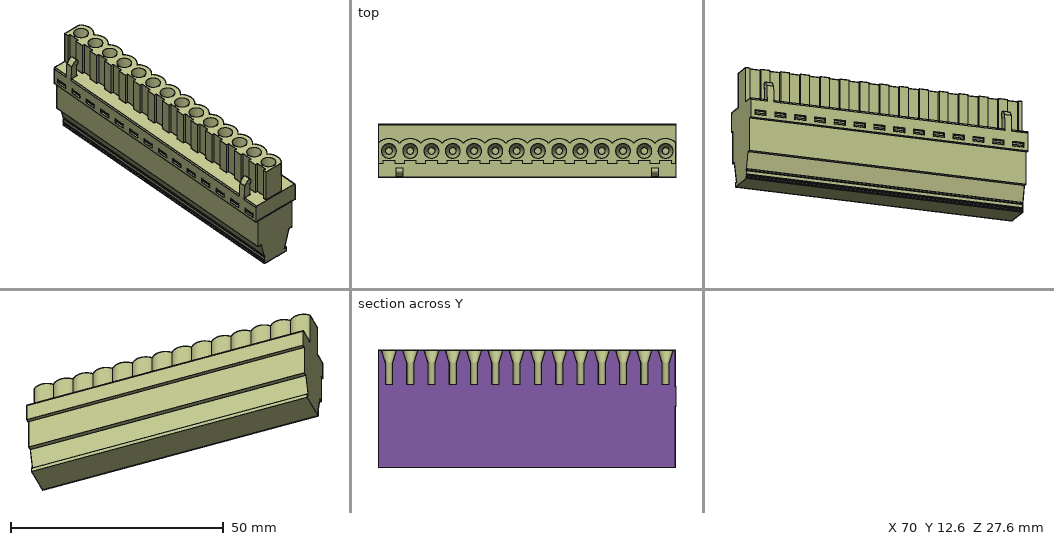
import cadquery as cq
import math

pole_count = 14
pitch = 5.0
length = pole_count * pitch
thickness = 12.59
height = 27.6

end_relief = 0.2
body_length = length - end_relief
flange_thickness = 0.84
body_front = flange_thickness
body_back = thickness - flange_thickness
shoulder_z = 6.3

foot_front = 2.9
toe_z = 1.05
toe_back = 10.0
taper_front_top = 1.85
taper_back_top = 10.75
taper_front_end = 2.8
taper_back_end = 9.3
taper_end_z = 2.5
foot_face_top = 1.9
foot_grooves = [(2.15, 0.5, 0.2), (0.95, 0.35, 0.1), (0.42, 0.45, 0.2)]

collar_bottom = 14.32
collar_top = 19.12
collar_chamfer_y = 0.2
collar_chamfer_z = 0.4

tower_front = 3.37
tower_back = 9.22
tower_radius = 3.4
key_width = 2.75
key_depth = 0.67
hole_y = 6.29
funnel_diameter = 3.47
funnel_depth = 3.0
contact_diameter = 1.59
contact_depth = 8.0

latch_width = 1.7
latch_centers_x = [pitch, length - pitch]
latch_root_depth = 0.48
latch_root_z = collar_top - latch_root_depth
latch_top = 23.9
latch_back = 1.84
latch_lean = 0.25
latch_nose = 0.45
latch_nose_bottom = 22.3
latch_slope_bottom = 22.7
latch_slope_top = 23.75
latch_top_front = 1.15
latch_crest = 1.65
latch_nose_top = 23.4
latch_root_bevel = 0.2

window_width = 2.75
window_bottom = 15.15
window_top = 16.25
window_depth = flange_thickness
ridge_z = 15.6
ridge_depth = 0.25
window_floor_depth = 0.5


def pole_x(index):
    return (index + 0.5) * pitch


def extrude_profile(outline, x_start, x_length):
    """Extrude a closed YZ outline along +X."""
    return outline.close().extrude(x_length).translate((x_start, 0, 0))


def make_body():
    outline = (
        cq.Workplane("YZ")
        .moveTo(foot_front, 0)
        .lineTo(foot_front, foot_face_top)
        .lineTo(taper_front_end, taper_end_z)
        .lineTo(taper_front_top, shoulder_z)
        .lineTo(body_front, shoulder_z)
        .lineTo(body_front, collar_top)
        .lineTo(body_back, collar_top)
        .lineTo(body_back, shoulder_z)
        .lineTo(taper_back_top, shoulder_z)
        .lineTo(taper_back_end, toe_z)
        .lineTo(toe_back, toe_z)
        .lineTo(toe_back, 0)
    )
    body = extrude_profile(outline, 0, body_length)
    for center_z, groove_height, groove_depth in foot_grooves:
        bottom_z = center_z - groove_height / 2
        top_z = center_z + groove_height / 2
        groove = (
            cq.Workplane("YZ")
            .moveTo(foot_front - groove_depth, bottom_z)
            .lineTo(foot_front, bottom_z)
            .lineTo(foot_front + groove_depth, center_z)
            .lineTo(foot_front, top_z)
            .lineTo(foot_front - groove_depth, top_z)
        )
        body = body.cut(extrude_profile(groove, 0, body_length))
    return body


def make_collar():
    outline = (
        cq.Workplane("YZ")
        .moveTo(0, collar_bottom)
        .lineTo(0, collar_top - collar_chamfer_z)
        .lineTo(collar_chamfer_y, collar_top)
        .lineTo(thickness - collar_chamfer_y, collar_top)
        .lineTo(thickness, collar_top - collar_chamfer_z)
        .lineTo(thickness, collar_bottom)
    )
    return extrude_profile(outline, 0, length)


def make_towers():
    """Joined towers: round backs, a flat front with one key slot per pole."""
    half_pitch = pitch / 2
    side_y = tower_back - tower_radius + math.sqrt(tower_radius**2 - half_pitch**2)
    row = cq.Workplane("XY").moveTo(0, tower_front).lineTo(0, side_y)
    for index in range(pole_count):
        x = pole_x(index)
        row = row.threePointArc((x, tower_back), (x + half_pitch, side_y))
    row = row.lineTo(length, tower_front).close().extrude(height - collar_top)
    row = row.translate((0, 0, collar_top))
    relief = cq.Workplane("XY").box(end_relief, thickness, height, centered=False)
    row = row.cut(relief.translate((body_length, 0, 0)))
    slots = (
        cq.Workplane("XY", origin=(0, tower_front, collar_top))
        .pushPoints([(pole_x(index), 0) for index in range(pole_count)])
        .rect(key_width, 2 * key_depth)
        .extrude(height - collar_top)
    )
    return row.cut(slots)


def make_contact_hole(x):
    """Funnel mouth leading into a narrow blind contact hole."""
    outline = (
        cq.Workplane("XZ")
        .moveTo(0, height)
        .lineTo(funnel_diameter / 2, height)
        .lineTo(contact_diameter / 2, height - funnel_depth)
        .lineTo(contact_diameter / 2, height - contact_depth)
        .lineTo(0, height - contact_depth)
        .close()
    )
    return outline.revolve(360, (0, 0), (0, 1)).translate((x, hole_y, 0))


def make_latch(x):
    nose_y = latch_back + latch_nose
    outline = (
        cq.Workplane("YZ")
        .moveTo(0, latch_root_z)
        .lineTo(0, collar_top)
        .lineTo(latch_lean, latch_slope_bottom)
        .lineTo(latch_top_front, latch_slope_top)
        .threePointArc((latch_crest, latch_top), (nose_y, latch_nose_top))
        .lineTo(nose_y, latch_nose_bottom + latch_nose)
        .lineTo(latch_back, latch_nose_bottom)
        .lineTo(latch_back, collar_top + latch_root_bevel)
        .lineTo(latch_back + latch_root_bevel, collar_top)
        .lineTo(latch_back + latch_root_bevel, latch_root_z)
    )
    return extrude_profile(outline, x - latch_width / 2, latch_width)


def make_window(x):
    """Pocket whose floor ramps out to a ridge and falls back below it."""
    outline = (
        cq.Workplane("YZ")
        .moveTo(0, window_bottom)
        .lineTo(0, window_top)
        .lineTo(window_depth, window_top)
        .lineTo(ridge_depth, ridge_z)
        .lineTo(window_floor_depth, window_bottom)
    )
    return extrude_profile(outline, x - window_width / 2, window_width)


result = make_body().union(make_collar()).union(make_towers())
for latch_x in latch_centers_x:
    result = result.union(make_latch(latch_x))
for pole in range(pole_count):
    result = result.cut(make_contact_hole(pole_x(pole)))
    result = result.cut(make_window(pole_x(pole)))